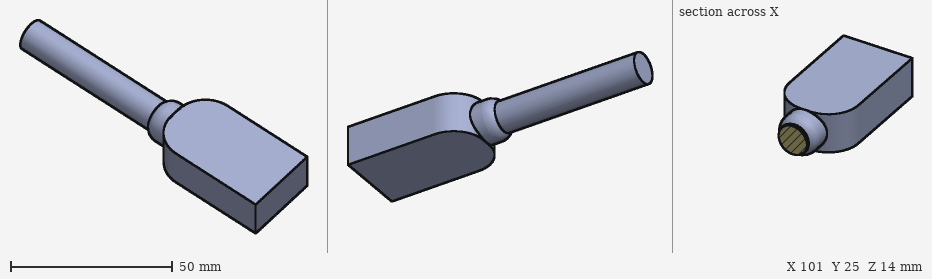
import cadquery as cq
import math

total_length = 101.0
body_width = 25.0
body_height = 14.0

collar_start = 51.5
collar_full = 54.9
body_start = 58.1

cable_diameter = 10.5
collar_diameter = body_height
body_corner_radius = 10.8

cable_radius = cable_diameter / 2
collar_radius = collar_diameter / 2
body_length = total_length - body_start
body_middle = body_start + body_length / 2
collar_end = body_start + body_corner_radius


def make_body():
    """Flat block with the two upright edges on the cable side rounded."""
    block = cq.Workplane("XY").box(body_length, body_width, body_height)
    rounded = block.edges("|Z and <X").fillet(body_corner_radius)
    return rounded.translate((body_middle, 0, 0))


def make_cable_and_collar():
    """Round cable swelling through a convex shoulder into the collar, turned about the X axis."""
    shoulder_length = collar_full - collar_start
    shoulder_rise = collar_radius - cable_radius
    shoulder_radius = (shoulder_length**2 + shoulder_rise**2) / (2 * shoulder_rise)
    half_angle = math.asin(shoulder_length / shoulder_radius) / 2
    arc_middle = (
        collar_full - shoulder_radius * math.sin(half_angle),
        collar_radius - shoulder_radius * (1 - math.cos(half_angle)),
    )
    profile = (
        cq.Workplane("XY")
        .moveTo(0, 0)
        .lineTo(0, cable_radius)
        .lineTo(collar_start, cable_radius)
        .threePointArc(arc_middle, (collar_full, collar_radius))
        .lineTo(collar_end, collar_radius)
        .lineTo(collar_end, 0)
        .close()
    )
    return profile.revolve(360, (0, 0, 0), (1, 0, 0))


result = make_body().union(make_cable_and_collar())